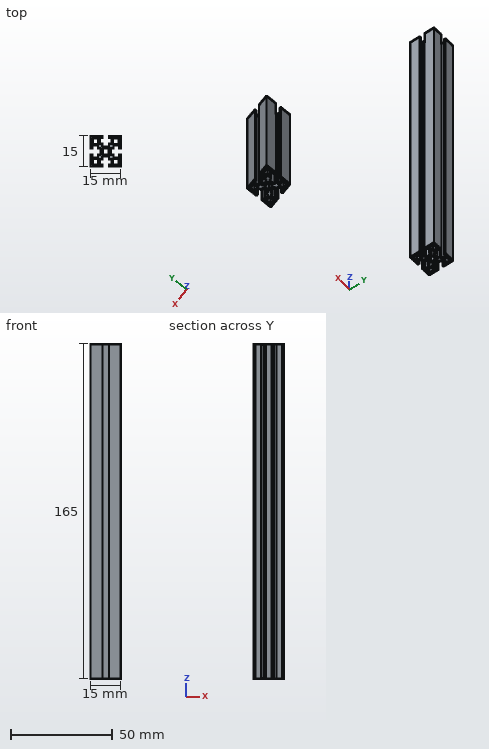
import cadquery as cq

length = 165.0
width = 15.0
lip_thickness = 1.0
slot_opening = 3.1
slot_inner_width = 5.8
shoulder_depth = 3.6
slot_depth = 5.0
corner_hole_size = 2.6
corner_hole_inset = 1.2
core_hole_size = 2.8

half_width = width / 2
corner_hole_offset = half_width - corner_hole_inset - corner_hole_size / 2


def slot_cutter():
    """Stepped slot in the +X side: a narrow channel with a wider chamber behind the lips."""
    channel = cq.Workplane("XY").box(
        slot_depth, slot_opening, length, centered=(False, True, False)
    ).translate((half_width - slot_depth, 0, 0))
    chamber = cq.Workplane("XY").box(
        shoulder_depth - lip_thickness, slot_inner_width, length, centered=(False, True, False)
    ).translate((half_width - shoulder_depth, 0, 0))
    return channel.union(chamber)


result = cq.Workplane("XY").rect(width, width).extrude(length)

for angle in (0, 90, 180, 270):
    result = result.cut(slot_cutter().rotate((0, 0, 0), (0, 0, 1), angle))

corner_holes = (
    cq.Workplane("XY")
    .rect(2 * corner_hole_offset, 2 * corner_hole_offset, forConstruction=True)
    .vertices()
    .rect(corner_hole_size, corner_hole_size)
    .extrude(length)
)
result = result.cut(corner_holes)

core_hole = cq.Workplane("XY").rect(core_hole_size, core_hole_size).extrude(length)
result = result.cut(core_hole)